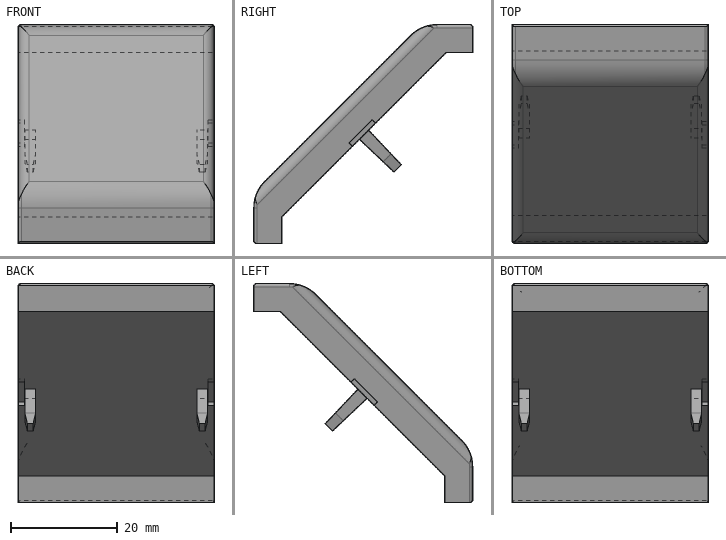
import cadquery as cq
import math

width = 36.97
side = 41.2

flange_thickness = 5.28
inner_flange = 5.0
slope_thickness = 7.0
bend_radius = 7.0
slope_edge_radius = 2.1
side_edge_radius = 0.6
end_chamfer = 0.4

notch_length = 6.15
notch_depth = 0.9
notch_width = 1.25
peg_setback = 0.05
peg_width = 2.05
peg_root = 2.5
peg_shoulder = 2.1
peg_tip = 1.98
peg_reach = 8.95
peg_tip_length = 2.8
peg_tip_width = 1.07

half = side / 2
inner = half - flange_thickness
outer_corner = half - inner_flange + flange_thickness - slope_thickness * math.sqrt(2)
far = 2 * side


def rounded_bar(top, radius):
    """Long bar along Y whose upper side edges are rounded."""
    bar = cq.Workplane("XY").box(width, 2 * far, far, centered=(True, True, False))
    bar = bar.edges("|Y and >Z").fillet(radius)
    return bar.translate((0, 0, top - far))


def to_slope(solid):
    """Turn a shape so that its up direction is square to the slope."""
    return solid.rotate((0, 0, 0), (1, 0, 0), 45)


def make_plate():
    profile = [
        (half, half),
        (outer_corner, half),
        (-half, -outer_corner),
        (-half, -half),
        (-inner, -half),
        (-inner, inner_flange - half),
        (half - inner_flange, inner),
        (half, inner),
    ]
    plate = cq.Workplane("YZ").polyline(profile).close().extrude(width / 2, both=True)
    for y, z in profile[1:3]:
        bend = cq.selectors.NearestToPointSelector((0, y, z))
        plate = plate.edges(bend).fillet(bend_radius)
    for y, z in (profile[0], profile[3]):
        end = cq.selectors.NearestToPointSelector((0, y, z))
        plate = plate.edges(end).chamfer(end_chamfer)
    for x in (-width / 2, width / 2):
        rim_center = (x, (outer_corner - half) / 2, (half - outer_corner) / 2)
        rim = cq.selectors.NearestToPointSelector(rim_center)
        plate = plate.edges(rim).fillet(side_edge_radius)

    slope_height = (half - outer_corner) / math.sqrt(2)
    return plate.intersect(to_slope(rounded_bar(slope_height, slope_edge_radius)))


slope_inside = (inner - (half - inner_flange)) / math.sqrt(2)
notch_floor = slope_inside + notch_depth


def make_notch():
    notch = cq.Workplane("XY").box(notch_width, notch_length, notch_depth, centered=(False, True, False))
    return to_slope(notch.translate((-width / 2, 0, slope_inside)))


def make_peg():
    shoulder_depth = notch_depth + peg_reach - peg_tip_length
    peg_x = -width / 2 + notch_width + peg_setback + peg_width / 2
    peg = (
        cq.Workplane("XY", origin=(peg_x, 0, notch_floor))
        .rect(peg_width, peg_root)
        .workplane(offset=-shoulder_depth)
        .rect(peg_width, peg_shoulder)
        .loft(ruled=True)
    )
    tip = (
        cq.Workplane("XY", origin=(peg_x, 0, notch_floor - shoulder_depth))
        .rect(peg_width, peg_shoulder)
        .workplane(offset=-peg_tip_length)
        .rect(peg_tip_width, peg_tip)
        .loft(ruled=True)
    )
    return to_slope(peg.union(tip))


notch = make_notch()
peg = make_peg()
result = (
    make_plate()
    .cut(notch)
    .cut(notch.mirror("YZ"))
    .union(peg)
    .union(peg.mirror("YZ"))
)